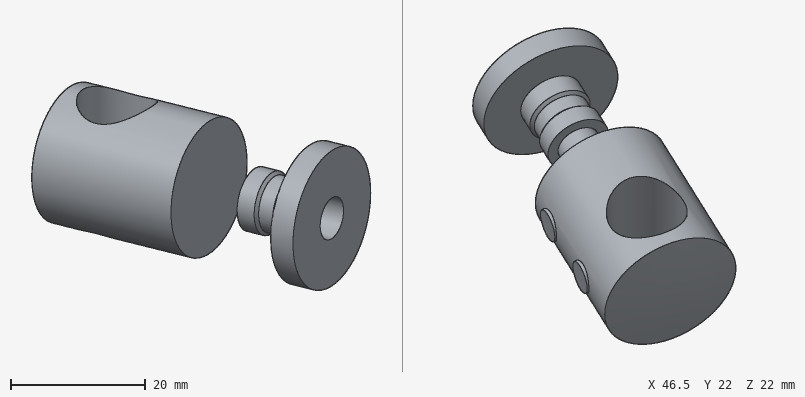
import cadquery as cq

HOLDER_DIAMETER = 21.5
HOLDER_LENGTH = 25.05
DOME_HEIGHT = 0.75

RAIL_HOLE_DIAMETER = 12.0
RAIL_HOLE_X = 8.95

SCREW_COUNT = 2
SCREW_DIAMETER = 5.2
SCREW_FIRST_X = 8.88
SCREW_SPACING = 11.35
SCREW_TAPER_HEIGHT = 0.3
SCREW_TAPER_INSET = 0.1

OVERALL_LENGTH = 46.45
FLANGE_DIAMETER = 22.0
FLANGE_THICKNESS = 3.9
STEM_DIAMETER = 9.9
STEM_LENGTH = 9.55
BORE_DIAMETER = 6.6

GROOVE_DEPTH = 0.5
GROOVE_FROM_STEM_END = 2.97
GROOVE_TOP_WIDTH = 3.4
GROOVE_SIDE_RUN = 0.45

HOLDER_RADIUS = HOLDER_DIAMETER / 2
STEM_RADIUS = STEM_DIAMETER / 2
BORE_RADIUS = BORE_DIAMETER / 2
FLANGE_RADIUS = FLANGE_DIAMETER / 2
GROOVE_RADIUS = STEM_RADIUS - GROOVE_DEPTH
SCREW_TOP_Y = FLANGE_RADIUS
FLANGE_FACE_X = OVERALL_LENGTH - FLANGE_THICKNESS
STEM_END_X = FLANGE_FACE_X - STEM_LENGTH
GROOVE_START_X = STEM_END_X + GROOVE_FROM_STEM_END
GROOVE_END_X = GROOVE_START_X + GROOVE_TOP_WIDTH


def revolve_about_x(profile):
    """Turn a closed half profile, drawn as (x, radius), around the X axis."""
    return profile.revolve(360, (0, 0, 0), (1, 0, 0))


def make_domed_cylinder():
    dome_radius = (HOLDER_RADIUS**2 + DOME_HEIGHT**2) / (2 * DOME_HEIGHT)
    profile = (
        cq.Workplane("XY")
        .moveTo(HOLDER_LENGTH, 0)
        .lineTo(HOLDER_LENGTH, HOLDER_RADIUS)
        .lineTo(DOME_HEIGHT, HOLDER_RADIUS)
        .radiusArc((0, 0), -dome_radius)
        .close()
    )
    return revolve_about_x(profile)


def make_rail_hole():
    return (
        cq.Workplane("XY")
        .center(RAIL_HOLE_X, 0)
        .circle(RAIL_HOLE_DIAMETER / 2)
        .extrude(HOLDER_RADIUS, both=True)
    )


def make_screw(x):
    """Screw head on the +Y side, rooted in the wall beside the rail hole."""
    root_y = (RAIL_HOLE_DIAMETER / 2 + HOLDER_RADIUS) / 2
    return (
        cq.Workplane("XZ", origin=(x, SCREW_TOP_Y, 0))
        .circle(SCREW_DIAMETER / 2)
        .extrude(SCREW_TOP_Y - root_y)
        .faces(">Y")
        .chamfer(SCREW_TAPER_HEIGHT, SCREW_TAPER_INSET)
    )


def make_holder():
    body = make_domed_cylinder().cut(make_rail_hole())
    for index in range(SCREW_COUNT):
        body = body.union(make_screw(SCREW_FIRST_X + index * SCREW_SPACING))
    return body


def make_mount():
    profile = cq.Workplane("XY").polyline([
        (STEM_END_X, BORE_RADIUS),
        (STEM_END_X, STEM_RADIUS),
        (GROOVE_START_X, STEM_RADIUS),
        (GROOVE_START_X + GROOVE_SIDE_RUN, GROOVE_RADIUS),
        (GROOVE_END_X - GROOVE_SIDE_RUN, GROOVE_RADIUS),
        (GROOVE_END_X, STEM_RADIUS),
        (FLANGE_FACE_X, STEM_RADIUS),
        (FLANGE_FACE_X, FLANGE_RADIUS),
        (OVERALL_LENGTH, FLANGE_RADIUS),
        (OVERALL_LENGTH, BORE_RADIUS),
    ]).close()
    return revolve_about_x(profile)


holder = make_holder()
mount = make_mount()

result = cq.Compound.makeCompound([holder.val(), mount.val()])